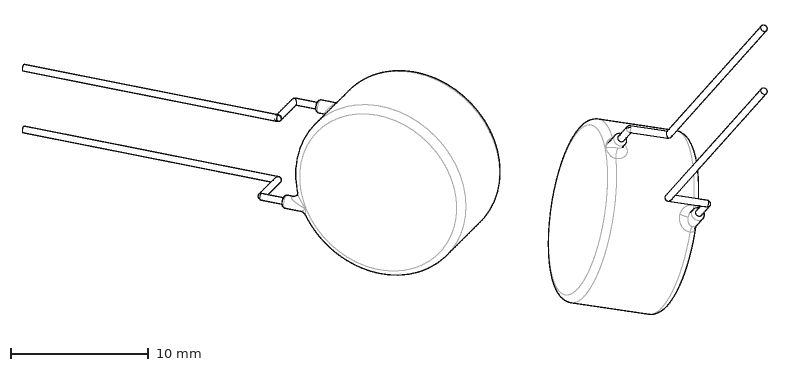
import cadquery as cq

disc_diameter = 13.5
disc_thickness = 7.0
disc_edge_radius = 0.5
overall_length = 36.5

lead_pitch = 5.0
wire_diameter = 0.5
crank_x = -9.53

sleeve_diameter = 1.0
sleeve_tip_x = -7.75
sleeve_tip_radius = 0.22
sleeve_blend_radius = 0.5
sleeve_inset = 0.007

disc_radius = disc_diameter / 2
lead_tip_x = disc_radius - overall_length
lead_z = lead_pitch / 2
sleeve_y = (disc_thickness - sleeve_diameter) / 2 - sleeve_inset
root_x = -disc_radius / 2


def make_disc():
    """Round body with both rims rounded."""
    disc = cq.Workplane("XZ", origin=(0, disc_thickness / 2, 0)).circle(disc_radius).extrude(disc_thickness)
    return disc.edges("%CIRCLE").fillet(disc_edge_radius)


def make_sleeve(side):
    """Short sleeve with a rounded tip, almost flush with one flat face of the disc."""
    sleeve = (
        cq.Workplane("YZ", origin=(sleeve_tip_x, side * sleeve_y, side * lead_z))
        .circle(sleeve_diameter / 2)
        .extrude(root_x - sleeve_tip_x)
    )
    return sleeve.faces("<X").edges().fillet(sleeve_tip_radius)


def make_lead(side):
    """Wire that leaves the sleeve, cranks to mid-thickness and runs straight out along -X."""
    z = side * lead_z
    path = cq.Workplane("XY", origin=(0, 0, z)).polyline(
        [(lead_tip_x, 0), (crank_x, 0), (crank_x, side * sleeve_y), (root_x, side * sleeve_y)]
    )
    profile = cq.Workplane("YZ", origin=(lead_tip_x, 0, z)).circle(wire_diameter / 2)
    return profile.sweep(path, transition="round")


def is_sleeve_root(edge):
    """True for the edges where a sleeve meets the disc, not for its tip or the disc rims."""
    box = edge.BoundingBox()
    reach = sleeve_diameter
    curved = edge.geomType() != "LINE"
    near_sleeve = abs(abs(box.center.z) - lead_z) < reach and box.zlen < reach
    return curved and near_sleeve and sleeve_tip_x + sleeve_tip_radius < box.xmin and box.xmax < root_x


body = make_disc()
for side in (1, -1):
    body = body.union(make_sleeve(side))

root_edges = [edge for edge in body.edges().vals() if is_sleeve_root(edge)]
body = body.newObject(root_edges).fillet(sleeve_blend_radius)

for side in (1, -1):
    body = body.union(make_lead(side))

result = body